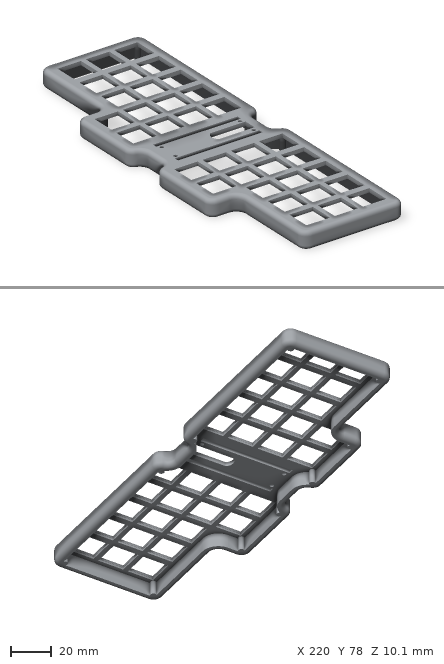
import cadquery as cq
import math

LENGTH = 220.0
WIDTH = 78.0
HEIGHT = 10.1

KEY_SIZE = 14.0
KEY_COLUMNS = 5
KEY_ROWS = 4
KEY_GRID_LENGTH = 192.5
KEY_GRID_WIDTH = 51.0
KEY_PITCH_X = 18.0
KEY_PITCH_Y = KEY_GRID_WIDTH / (KEY_ROWS - 1)
INNER_COLUMNS = 2

CORNER_RADIUS = 5.0
NECK_HALF_FLAT = 5.5
NECK_DEPTH = 7.0
STEP_X = 55.9
STEP_Y = -22.0
EDGE_FILLET = 2.5

PLATE_THICKNESS = 2.5
WALL = 4.0
POST_DIAMETER = 3.3

LIP_THICKNESS = 1.3
RELIEF_STEP = 0.1

PIN_SLOT_WIDTH = 2.6
PIN_SLOT_LENGTH = 51.0
PIN_SLOT_X = 9.0
SCREW_DIAMETER = 2.2
SCREW_X = 5.7
SCREW_Y = 23.5
WINDOW_WIDTH = 7.5
WINDOW_LENGTH = 23.3
WINDOW_ARCH = 2.0

HALF_LENGTH = LENGTH / 2
HALF_WIDTH = WIDTH / 2
FIRST_KEY_X = KEY_GRID_LENGTH / 2
FIRST_KEY_Y = KEY_GRID_WIDTH / 2

NECK_TURN = math.acos(1 - NECK_DEPTH / (2 * CORNER_RADIUS))
SHOULDER_X = NECK_HALF_FLAT + 2 * CORNER_RADIUS * math.sin(NECK_TURN)


def outline_half(offset):
    """Closed right half of the outline, moved inward by offset."""
    right = HALF_LENGTH - offset
    top = HALF_WIDTH - offset
    step_x = STEP_X - offset
    step_y = STEP_Y + offset
    waist = top - NECK_DEPTH

    vex = CORNER_RADIUS - offset
    cave = CORNER_RADIUS + offset
    vex_mid = vex * (1 - math.sqrt(0.5))
    cave_mid = cave * (1 - math.sqrt(0.5))

    half_x = math.sin(NECK_TURN / 2)
    half_y = 1 - math.cos(NECK_TURN / 2)
    joint_x = NECK_HALF_FLAT + cave * math.sin(NECK_TURN)
    joint_y = waist + cave * (1 - math.cos(NECK_TURN))
    return (
        cq.Workplane("XY")
        .moveTo(0, waist)
        .lineTo(NECK_HALF_FLAT, waist)
        .threePointArc((NECK_HALF_FLAT + cave * half_x, waist + cave * half_y), (joint_x, joint_y))
        .threePointArc((SHOULDER_X - vex * half_x, top - vex * half_y), (SHOULDER_X, top))
        .lineTo(right - vex, top)
        .threePointArc((right - vex_mid, top - vex_mid), (right, top - vex))
        .lineTo(right, step_y + vex)
        .threePointArc((right - vex_mid, step_y + vex_mid), (right - vex, step_y))
        .lineTo(step_x + cave, step_y)
        .threePointArc((step_x + cave_mid, step_y - cave_mid), (step_x, step_y - cave))
        .lineTo(step_x, vex - top)
        .threePointArc((step_x - vex_mid, vex_mid - top), (step_x - vex, -top))
        .lineTo(SHOULDER_X, -top)
        .threePointArc((SHOULDER_X - vex * half_x, vex * half_y - top), (joint_x, -joint_y))
        .threePointArc((NECK_HALF_FLAT + cave * half_x, -waist - cave * half_y), (NECK_HALF_FLAT, -waist))
        .lineTo(0, -waist)
        .close()
    )


def symmetric_prism(offset, height):
    half = outline_half(offset).extrude(height)
    return half.union(half.mirror("YZ")).clean()


def key_centers():
    centers = []
    for column in range(KEY_COLUMNS):
        rows = KEY_ROWS if column >= KEY_COLUMNS - INNER_COLUMNS else KEY_ROWS - 1
        x = FIRST_KEY_X - column * KEY_PITCH_X
        for row in range(rows):
            y = FIRST_KEY_Y - row * KEY_PITCH_Y
            centers += [(-x, y), (x, y)]
    return centers


def square_prisms(size, height):
    return cq.Workplane("XY").pushPoints(key_centers()).rect(size, size).extrude(height)


body = symmetric_prism(0, HEIGHT)
body = body.faces("<Z or >Z").edges().fillet(EDGE_FILLET)

body = body.cut(symmetric_prism(WALL, HEIGHT - PLATE_THICKNESS))

body = body.cut(square_prisms(KEY_SIZE, HEIGHT))
body = body.cut(square_prisms(KEY_SIZE + 2 * RELIEF_STEP, HEIGHT - LIP_THICKNESS))

pin_slots = (
    cq.Workplane("XY")
    .pushPoints([(-PIN_SLOT_X, 0), (PIN_SLOT_X, 0)])
    .rect(PIN_SLOT_WIDTH, PIN_SLOT_LENGTH)
    .extrude(HEIGHT)
)
body = body.cut(pin_slots)

screws = (
    cq.Workplane("XY")
    .rect(2 * SCREW_X, 2 * SCREW_Y, forConstruction=True)
    .vertices()
    .circle(SCREW_DIAMETER / 2)
    .extrude(HEIGHT)
)
body = body.cut(screws)

corner_x = HALF_LENGTH - CORNER_RADIUS
corner_y = HALF_WIDTH - CORNER_RADIUS
post_places = [
    (corner_x, corner_y),
    (corner_x, STEP_Y + CORNER_RADIUS),
    (STEP_X - CORNER_RADIUS, -corner_y),
    (SHOULDER_X, corner_y),
    (SHOULDER_X, -corner_y),
]
post_centers = [(side * x, y) for x, y in post_places for side in (-1, 1)]
posts = cq.Workplane("XY").pushPoints(post_centers).circle(POST_DIAMETER / 2).extrude(HEIGHT - LIP_THICKNESS)
body = body.union(posts)

window_top = PIN_SLOT_LENGTH / 2
window_bottom = window_top - WINDOW_LENGTH
window = (
    cq.Workplane("XY")
    .moveTo(-WINDOW_WIDTH / 2, window_top)
    .lineTo(-WINDOW_WIDTH / 2, window_bottom + WINDOW_ARCH)
    .threePointArc((0, window_bottom), (WINDOW_WIDTH / 2, window_bottom + WINDOW_ARCH))
    .lineTo(WINDOW_WIDTH / 2, window_top)
    .close()
    .extrude(HEIGHT)
)
result = body.cut(window)